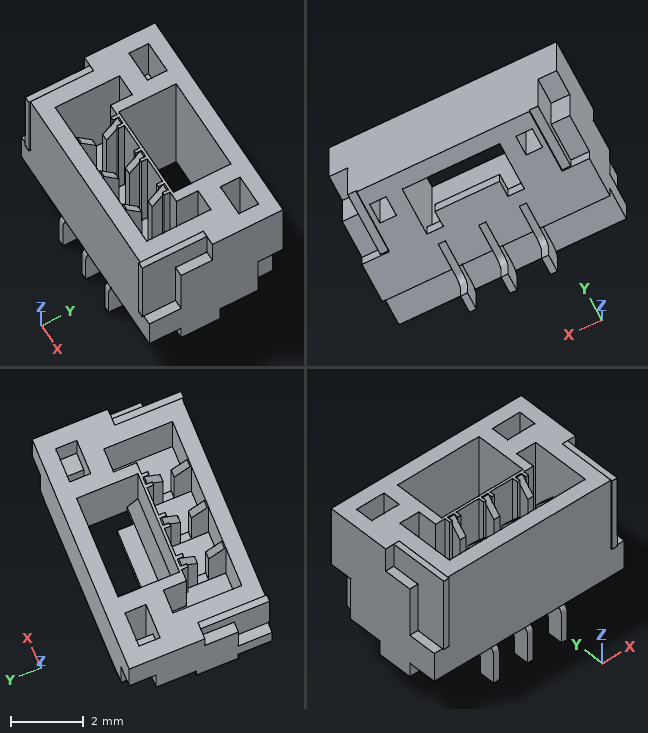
import cadquery as cq


width = 7.0
depth = 4.25
height = 4.04
wall = 0.5
half_width = width / 2
clip_wall_x = half_width - wall

foot_front_y = 1.01
foot_back_y = 2.255

cavity_half_width = 2.5
cavity_back_y = 2.535
floor_z = 2 * wall
key_half_width = 1.8
key_y = 1.85
boss_width = 0.41
boss_depth = 0.19

opening_back_y = depth - wall
window_half_width = 1.5
window_front_y = 1.93
hole_inner_x = 1.995
hole_front_y = 3.13
ramp_height = 0.525
shelf_half_width = 0.995
shelf_depth = 0.505

notch_depth = 0.575
notch_height = 1.98
notch_length = 0.8
sill_height = 0.09
sill_x = 2.66
ledge_z = notch_height + wall

terminal_count = 3
pitch = 1.245
terminal_width = 0.22
tail_front_y = -0.05
tail_back_y = 0.5
tail_length = 0.81
tail_outer_radius = 0.3
tail_inner_radius = 0.3
prong_depth = 0.51
prong_flat = 0.04
prong_tip_z = height
lead_in_height = 0.5

clip_thickness = 0.195
clip_bottom_z = 1.525
clip_arm_z = 3.23
clip_back_y = 2.0

terminal_xs = [pitch * (i - (terminal_count - 1) / 2) for i in range(terminal_count)]


def block(x0, x1, y0, y1, z0, z1):
    """Box between two opposite corners."""
    return cq.Workplane("XY").box(x1 - x0, y1 - y0, z1 - z0, centered=False).translate((x0, y0, z0))


def side_profile(points, x_start, thickness):
    """Outline of (y, z) points extruded along +X."""
    return cq.Workplane("YZ", origin=(x_start, 0, 0)).polyline(points).close().extrude(thickness)


def both_sides(right_half):
    """A shape on the +X side together with its mirror image."""
    return right_half.union(right_half.mirror("YZ"))


def make_clip(thickness):
    """L-shaped plate against the housing's +X clip face."""
    outline = [
        (tail_front_y, clip_bottom_z),
        (foot_front_y, clip_bottom_z),
        (foot_front_y, clip_arm_z),
        (clip_back_y, clip_arm_z),
        (clip_back_y, height),
        (tail_front_y, height),
    ]
    return side_profile(outline, clip_wall_x, thickness)


def make_terminal(x):
    """Two upright prongs on a common base, with a tail that bends down at the front."""
    slot_front_y = tail_back_y + prong_depth
    slot_back_y = key_y - prong_depth
    lead_in_z = prong_tip_z - lead_in_height
    profile = (
        cq.Workplane("YZ", origin=(x - terminal_width / 2, 0, 0))
        .moveTo(tail_front_y, -tail_length)
        .lineTo(tail_front_y, wall - tail_outer_radius)
        .radiusArc((tail_front_y + tail_outer_radius, wall), tail_outer_radius)
        .lineTo(tail_back_y, wall)
        .lineTo(tail_back_y, prong_tip_z)
        .lineTo(tail_back_y + prong_flat, prong_tip_z)
        .lineTo(slot_front_y, lead_in_z)
        .lineTo(slot_front_y, floor_z)
        .lineTo(slot_back_y, floor_z)
        .lineTo(slot_back_y, lead_in_z)
        .lineTo(key_y - prong_flat, prong_tip_z)
        .lineTo(key_y, prong_tip_z)
        .lineTo(key_y, 0)
        .lineTo(tail_back_y + tail_inner_radius, 0)
        .radiusArc((tail_back_y, -tail_inner_radius), -tail_inner_radius)
        .lineTo(tail_back_y, -tail_length)
        .close()
    )
    return profile.extrude(terminal_width)


def plug_cavity():
    """Cavity with the raised middle of its rear wall and the slotted bosses left standing."""
    cavity = block(-cavity_half_width, cavity_half_width, wall, cavity_back_y, floor_z, height)
    cavity = cavity.cut(block(-key_half_width, key_half_width, key_y, cavity_back_y, floor_z, height))
    for x in terminal_xs:
        boss = block(x - boss_width / 2, x + boss_width / 2, key_y - boss_depth, key_y, floor_z, height)
        prong_slot = block(
            x - terminal_width / 2, x + terminal_width / 2, key_y - boss_depth, key_y, floor_z, height
        )
        cavity = cavity.cut(boss.cut(prong_slot))
    return cavity


def latch_window():
    """Through window with a ramp and a low shelf left at the foot of its front wall."""
    window = block(-window_half_width, window_half_width, window_front_y, opening_back_y, 0, height)
    ramp_outline = [
        (window_front_y, 0),
        (foot_back_y, 0),
        (foot_back_y, wall),
        (window_front_y, wall + ramp_height),
    ]
    ramp = side_profile(ramp_outline, -window_half_width, 2 * window_half_width)
    shelf = block(-shelf_half_width, shelf_half_width, foot_back_y, foot_back_y + shelf_depth, 0, wall)
    return window.cut(ramp).cut(shelf)


def rear_holes():
    """Two stepped holes: wide above the ledge, narrow and through below it."""
    upper = block(hole_inner_x, clip_wall_x, hole_front_y, opening_back_y, ledge_z, height)
    lower = block(hole_inner_x, cavity_half_width, hole_front_y, opening_back_y, 0, ledge_z)
    return both_sides(upper.union(lower))


def rear_notches():
    """Stepped cutouts in the rear lower part of both sides."""
    notch_x = half_width - notch_depth
    corner = block(notch_x, half_width, depth - notch_length, depth, 0, notch_height)
    low = block(notch_x, half_width, foot_back_y, depth, 0, wall)
    sill = block(sill_x, half_width, foot_back_y, depth, 0, sill_height)
    return both_sides(corner.union(low).union(sill))


def make_housing(terminals):
    housing = block(-half_width, half_width, 0, depth, 0, height)
    housing = housing.cut(block(-half_width, half_width, 0, foot_front_y, 0, wall))
    housing = housing.cut(plug_cavity())
    housing = housing.cut(latch_window())
    housing = housing.cut(rear_holes())
    housing = housing.cut(rear_notches())
    housing = housing.cut(both_sides(make_clip(wall)))
    for terminal in terminals:
        housing = housing.cut(terminal)
    return housing


terminals = [make_terminal(x) for x in terminal_xs]
right_clip = make_clip(clip_thickness)
clips = [right_clip, right_clip.mirror("YZ")]
housing = make_housing(terminals)

bodies = [housing.solids(), *terminals, *clips]
result = cq.Compound.makeCompound([body.val() for body in bodies])